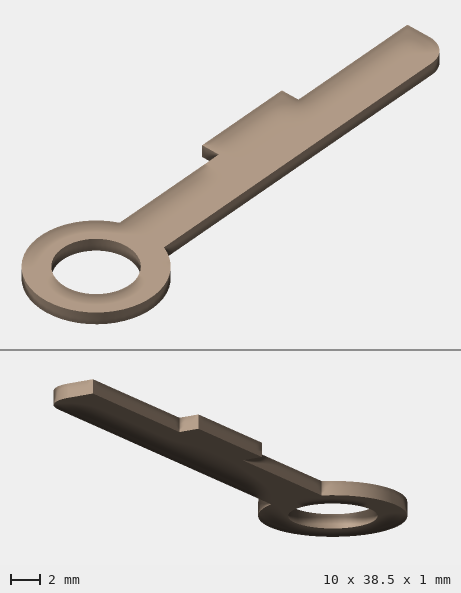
import cadquery as cq

total_length = 38.5
thickness = 1.0
ring_diameter = 10.0
hole_diameter = 6.0
blade_width = 4.0
tip_radius = 2.0
tab_depth = 1.5
tab_length = 8.0
tab_to_tip = 10.95

tip_y = total_length - ring_diameter / 2
tab_top_y = tip_y - tab_to_tip
tab_bottom_y = tab_top_y - tab_length
blade_left_x = -blade_width / 2


def make_block(x_start, x_end, y_start, y_end):
    """Flat plate between two opposite corners, resting on Z = 0."""
    return (
        cq.Workplane("XY")
        .box(x_end - x_start, y_end - y_start, thickness, centered=False)
        .translate((x_start, y_start, 0))
    )


def make_blade():
    """Straight blade from the ring centre, with one rounded tip corner."""
    blade = make_block(blade_left_x, blade_width / 2, 0, tip_y)
    return blade.edges("|Z and >X and >Y").fillet(tip_radius)


tab = make_block(blade_left_x - tab_depth, 0, tab_bottom_y, tab_top_y)

ring = cq.Workplane("XY").circle(ring_diameter / 2).extrude(thickness)
bore = cq.Workplane("XY").circle(hole_diameter / 2).extrude(thickness)

result = ring.union(make_blade()).union(tab).cut(bore)